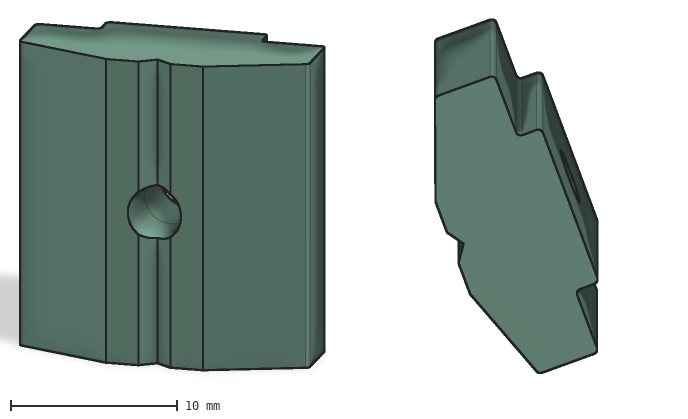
import cadquery as cq
import math

width = 18.0
depth = 7.5
height = 19.0

stem_width = 10.0
stem_depth = 1.5
nose_width = 6.0
flank_angle = 20.0
groove_width = 2.0
groove_depth = 0.7
edge_radius = 0.3

hole_diameter = 3.3

nose_y = -depth / 2
stem_y = depth / 2
shoulder_y = stem_y - stem_depth
flank_rise = (width - nose_width) / 2 * math.tan(math.radians(flank_angle))
flank_y = nose_y + flank_rise

right_half = [
    (groove_width / 2, nose_y),
    (nose_width / 2, nose_y),
    (width / 2, flank_y),
    (width / 2, shoulder_y),
    (stem_width / 2, shoulder_y),
    (stem_width / 2, stem_y),
]
left_half = [(-x, y) for x, y in reversed(right_half)]
groove_bottom = (0, nose_y + groove_depth)


def make_body():
    """T-slot profile extruded along Z, centred on the origin."""
    outline = [groove_bottom] + right_half + left_half
    return cq.Workplane("XY").polyline(outline).close().extrude(height / 2, both=True)


def round_long_edges(body):
    """Round every long edge behind the nose, leaving nose and groove sharp."""
    middle_y = (nose_y + flank_y) / 2
    rear_zone = cq.selectors.BoxSelector(
        (-width, middle_y, -height),
        (width, middle_y + depth, height),
    )
    return body.edges("|Z").edges(rear_zone).fillet(edge_radius)


def make_hole():
    """Through hole along Y at the centre of the part."""
    return cq.Workplane("XZ").circle(hole_diameter / 2).extrude(depth, both=True)


result = round_long_edges(make_body()).cut(make_hole())